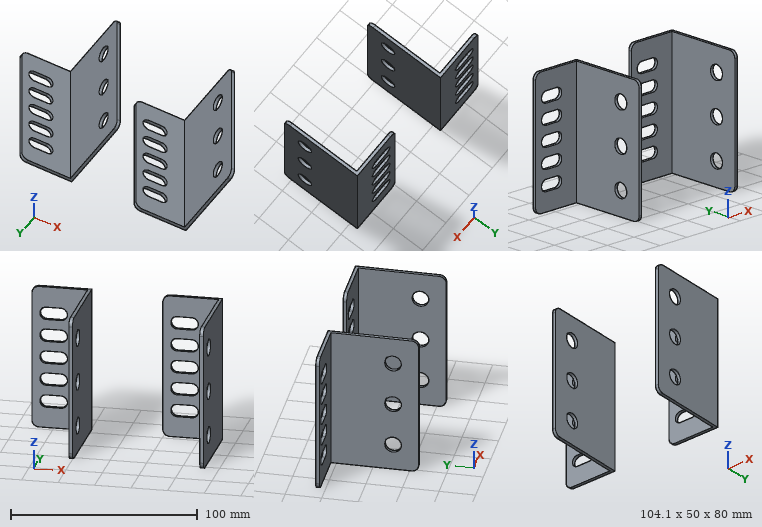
import cadquery as cq

TOTAL_WIDTH = 104.1
DEPTH = 50.0
HEIGHT = 80.0

FLANGE_WIDTH = 32.5
THICKNESS = 2.0
CORNER_RADIUS = 4.0
BRACKET_COUNT = 2
BRACKET_PITCH = (TOTAL_WIDTH - FLANGE_WIDTH) / (BRACKET_COUNT - 1)

SLOT_COUNT = 5
SLOT_LENGTH = 15.0
SLOT_HEIGHT = 7.0
SLOT_PITCH = 12.5
SLOT_CENTRE_FROM_EDGE = 12.0

HOLE_COUNT = 3
HOLE_DIAMETER = 9.1
HOLE_PITCH = 25.0
HOLE_CENTRE_FROM_EDGE = 14.0


def slotted_flange():
    """Back flange at Y = 0, with its free edge at X = 0 and rounded corners there."""
    plate = cq.Workplane("XY").box(FLANGE_WIDTH, THICKNESS, HEIGHT, centered=(False, False, True))
    plate = plate.translate((0, -THICKNESS, 0)).edges("|Y and <X").fillet(CORNER_RADIUS)
    slots = (
        cq.Workplane("XZ")
        .center(SLOT_CENTRE_FROM_EDGE, 0)
        .rarray(1, SLOT_PITCH, 1, SLOT_COUNT)
        .slot2D(SLOT_LENGTH, SLOT_HEIGHT)
        .extrude(THICKNESS)
    )
    return plate.cut(slots)


def drilled_plate():
    """Side plate reaching forward to Y = -DEPTH, with rounded front corners."""
    plate = cq.Workplane("XY").box(THICKNESS, DEPTH, HEIGHT, centered=(False, False, True))
    plate = plate.translate((0, -DEPTH, 0)).edges("|X and <Y").fillet(CORNER_RADIUS)
    holes = (
        cq.Workplane("YZ")
        .center(HOLE_CENTRE_FROM_EDGE - DEPTH, 0)
        .rarray(1, HOLE_PITCH, 1, HOLE_COUNT)
        .circle(HOLE_DIAMETER / 2)
        .extrude(THICKNESS)
    )
    return plate.cut(holes).translate((FLANGE_WIDTH - THICKNESS, 0, 0))


def bracket(left_edge):
    """One L-shaped bracket whose slotted flange starts at X = left_edge."""
    return slotted_flange().union(drilled_plate()).clean().translate((left_edge, 0, 0))


brackets = [bracket(i * BRACKET_PITCH) for i in range(BRACKET_COUNT)]

result = cq.Compound.makeCompound([body.val() for body in brackets])